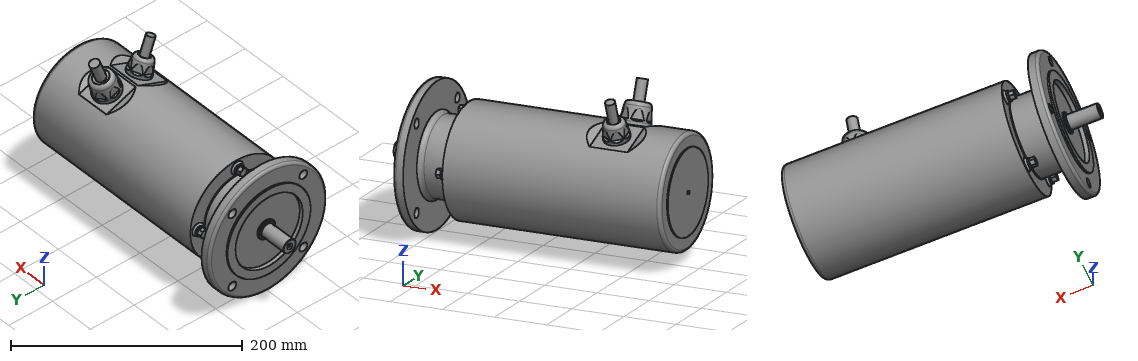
import cadquery as cq
import math

TOTAL_LENGTH = 280
SPIGOT_X = 27.2
FLANGE_X = 28.8
FLANGE_BACK_X = 38.5
NECK_X = 44.0
REGISTER_X = 68.5
BODY_X = 69.5
BODY_END_X = 278.3
CAP_END_X = 279.5

SHAFT_DIA = 14
SHAFT_CHAMFER = 0.3
CENTRE_HOLE_DIA = 3.5
CENTRE_SINK_DIA = 6.0
CENTRE_HOLE_DEPTH = 5.5
SEAL_DIA = 20.0
SEAL_HEIGHT = 1.7
SEAL_CHAMFER = 0.5
COLLAR_DIA = 15.0
COLLAR_HEIGHT = 2.2
RECESS_DIA = 77.0
RECESS_DEPTH = 4.2
SPIGOT_DIA = 95.0
FLANGE_DIA = 135.0
FLANGE_ROUND = 2.8
NECK_DIA = 75.0
NECK_FLARE = 2.8
REGISTER_DIA = 75.5
BODY_DIA = 107.0
BODY_ROUND = 3.5
CAP_DIA = 80.0
NUB_DIA = 3.5

HOLE_COUNT = 4
HOLE_DIA = 9.0
HOLE_CIRCLE_DIA = 114.8
HOLE_FIRST_ANGLE = 45
SCREW_COUNT = 4
SCREW_CIRCLE_DIA = 89.5
SCREW_HEAD_X = 60.8
SCREW_COLLAR_X = 65.5
SCREW_CONE_X = 67.2
SCREW_FLATS = 6
SCREW_ACROSS_CORNERS = 8.7
SCREW_COLLAR_DIA = 10.0
SCREW_CONE_DIA = 13.5

PAD_TILT = 21
PAD_X = 219.8
PAD_RADIUS = 50.5
PAD_LENGTH = 36.5
PAD_MOUTH_LENGTH = 53.0
PAD_CUT_WIDTH = 44.8

GLAND_FLATS = 6
LEDGE_ANGLE = 45
DOME_ROUND = 4.2
MOUTH_DEPTH = 1.0


def disc(start_x, end_x, diameter):
    """Cylinder on the motor axis between two X stations."""
    return cq.Workplane("YZ", origin=(start_x, 0, 0)).circle(diameter / 2).extrude(end_x - start_x)


def polar_points(count, circle_dia, first_angle):
    """Equally spaced (Y, Z) points on a circle around the motor axis."""
    angles = [math.radians(first_angle + i * 360 / count) for i in range(count)]
    return [(circle_dia / 2 * math.cos(a), circle_dia / 2 * math.sin(a)) for a in angles]


def make_shaft():
    """Chamfered shaft with a countersunk centre hole in its tip."""
    shaft = disc(0, BODY_X, SHAFT_DIA).faces("<X").chamfer(SHAFT_CHAMFER)
    sink_depth = (CENTRE_SINK_DIA - CENTRE_HOLE_DIA) / 2
    centre_hole = (
        cq.Workplane("XY")
        .lineTo(0, CENTRE_SINK_DIA / 2)
        .lineTo(sink_depth, CENTRE_HOLE_DIA / 2)
        .lineTo(CENTRE_HOLE_DEPTH, CENTRE_HOLE_DIA / 2)
        .lineTo(CENTRE_HOLE_DEPTH, 0)
        .close()
        .revolve(360, (0, 0, 0), (1, 0, 0))
    )
    return shaft.cut(centre_hole)


def make_flange():
    """Flange with a recessed spigot, a seal ring and collar round the shaft, and bolt holes."""
    flange = disc(FLANGE_X, FLANGE_BACK_X, FLANGE_DIA).faces("<X").edges().fillet(FLANGE_ROUND)
    flange = flange.union(disc(SPIGOT_X, FLANGE_X, SPIGOT_DIA))
    recess_floor_x = SPIGOT_X + RECESS_DEPTH
    flange = flange.cut(disc(SPIGOT_X, recess_floor_x, RECESS_DIA))
    seal = disc(recess_floor_x - SEAL_HEIGHT, recess_floor_x, SEAL_DIA).faces("<X").chamfer(SEAL_CHAMFER)
    flange = flange.union(seal).union(disc(recess_floor_x - COLLAR_HEIGHT, recess_floor_x, COLLAR_DIA))
    holes = (
        cq.Workplane("YZ", origin=(FLANGE_X, 0, 0))
        .pushPoints(polar_points(HOLE_COUNT, HOLE_CIRCLE_DIA, HOLE_FIRST_ANGLE))
        .circle(HOLE_DIA / 2)
        .extrude(FLANGE_BACK_X - FLANGE_X)
    )
    return flange.cut(holes)


def make_neck():
    """Neck that flares out where it meets the flange, with a register ring at the body."""
    radius = NECK_DIA / 2
    flare_length = NECK_X - FLANGE_BACK_X
    arc_radius = (flare_length**2 + NECK_FLARE**2) / (2 * NECK_FLARE)
    half_angle = math.asin(flare_length / arc_radius) / 2
    arc_mid = (
        NECK_X - arc_radius * math.sin(half_angle),
        radius + arc_radius * (1 - math.cos(half_angle)),
    )
    neck = (
        cq.Workplane("XY")
        .moveTo(FLANGE_BACK_X, 0)
        .lineTo(FLANGE_BACK_X, radius + NECK_FLARE)
        .threePointArc(arc_mid, (NECK_X, radius))
        .lineTo(BODY_X, radius)
        .lineTo(BODY_X, 0)
        .close()
        .revolve(360, (0, 0, 0), (1, 0, 0))
    )
    return neck.union(disc(REGISTER_X, BODY_X, REGISTER_DIA))


def make_body():
    """Main cylinder, rounded at the rear, with a thin cap and a central nub."""
    body = disc(BODY_X, BODY_END_X, BODY_DIA).faces(">X").edges().fillet(BODY_ROUND)
    body = body.union(disc(BODY_END_X, CAP_END_X, CAP_DIA))
    return body.union(disc(CAP_END_X, TOTAL_LENGTH, NUB_DIA))


def make_screw():
    """Hexagon screw head on a round collar with a conical foot, on the motor axis."""
    head = (
        cq.Workplane("YZ", origin=(SCREW_HEAD_X, 0, 0))
        .polygon(SCREW_FLATS, SCREW_ACROSS_CORNERS)
        .extrude(SCREW_COLLAR_X - SCREW_HEAD_X)
    )
    collar = disc(SCREW_COLLAR_X, SCREW_CONE_X, SCREW_COLLAR_DIA)
    cone = (
        cq.Workplane("YZ", origin=(SCREW_CONE_X, 0, 0))
        .circle(SCREW_COLLAR_DIA / 2)
        .workplane(offset=BODY_X - SCREW_CONE_X)
        .circle(SCREW_CONE_DIA / 2)
        .loft()
    )
    return head.union(collar).union(cone)


def tilt_about_axis(shape, side):
    """Turn a shape built over the +Z side towards +Y (side 1) or -Y (side -1)."""
    return shape.rotate((0, 0, 0), (1, 0, 0), -side * PAD_TILT)


def make_pad_cut():
    """Flat-bottomed pocket with sloping ends, open to the outside of the body."""
    return (
        cq.Workplane("XZ", origin=(PAD_X, PAD_CUT_WIDTH / 2, 0))
        .moveTo(-PAD_LENGTH / 2, PAD_RADIUS)
        .lineTo(PAD_LENGTH / 2, PAD_RADIUS)
        .lineTo(PAD_MOUTH_LENGTH / 2, BODY_DIA / 2)
        .lineTo(-PAD_MOUTH_LENGTH / 2, BODY_DIA / 2)
        .close()
        .extrude(PAD_CUT_WIDTH)
    )


def make_motor():
    """Motor with its shaft and screws, and one pad on each side for a gland."""
    motor = make_body().union(make_neck()).union(make_flange()).union(make_shaft())
    screw = make_screw()
    for i, (y, z) in enumerate(polar_points(SCREW_COUNT, SCREW_CIRCLE_DIA, 0)):
        turned = screw.rotate((0, 0, 0), (1, 0, 0), i * 360 / SCREW_COUNT)
        motor = motor.union(turned.translate((0, y, z)))
    for side in (1, -1):
        motor = motor.cut(tilt_about_axis(make_pad_cut(), side))
    return motor


def make_gland(
    side, base_dia, base_height, flats_width, ledge_height,
    taper_top, top_dia, height, mouth_dia, cable_dia, cable_end,
):
    """Cable gland with its cable: base ring, tapered nut with six flats and a domed top."""
    nut = (
        cq.Workplane("XZ")
        .lineTo(base_dia / 2, 0)
        .lineTo(base_dia / 2, base_height)
        .lineTo(top_dia / 2, taper_top)
        .radiusArc((mouth_dia / 2, height), -DOME_ROUND)
        .lineTo(mouth_dia / 2, height - MOUTH_DEPTH)
        .lineTo(0, height - MOUTH_DEPTH)
        .close()
        .revolve(360, (0, 0, 0), (0, 1, 0))
    )
    across_corners = flats_width / math.cos(math.pi / GLAND_FLATS)
    hexagon = cq.Sketch().regularPolygon(across_corners / 2, GLAND_FLATS)
    hexagon_plane = cq.Workplane("XY", origin=(0, 0, ledge_height)).placeSketch(hexagon)
    prism = hexagon_plane.extrude(height - ledge_height)
    ledge = hexagon_plane.extrude(-ledge_height, taper=-LEDGE_ANGLE)
    cable = cq.Workplane("XY").circle(cable_dia / 2).extrude(cable_end)
    gland = nut.intersect(prism.union(ledge)).union(cable)
    return tilt_about_axis(gland.translate((PAD_X, 0, PAD_RADIUS)), side)


motor = make_motor()
large_gland = make_gland(
    side=1,
    base_dia=28,
    base_height=3.5,
    flats_width=25.0,
    ledge_height=5.3,
    taper_top=17.5,
    top_dia=24.5,
    height=21.3,
    mouth_dia=16.0,
    cable_dia=10.0,
    cable_end=41.2,
)
small_gland = make_gland(
    side=-1,
    base_dia=24.5,
    base_height=2.5,
    flats_width=20.7,
    ledge_height=4.5,
    taper_top=15.0,
    top_dia=20.2,
    height=18.2,
    mouth_dia=11.8,
    cable_dia=9.0,
    cable_end=38.0,
)

result = cq.Compound.makeCompound([motor.val(), large_gland.val(), small_gland.val()])